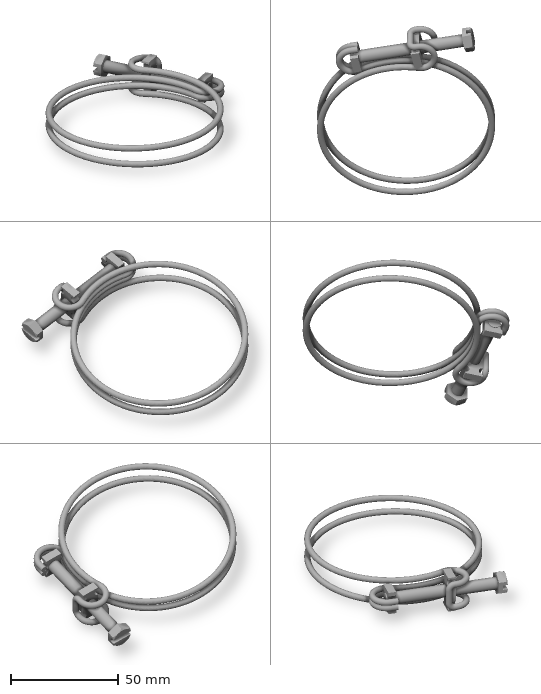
import cadquery as cq
import math

overall_length = 93.5
ring_outer_dia = 82.9

wire_dia = 3.0
wire_r = wire_dia / 2
ring_r = ring_outer_dia / 2 - wire_r

loop_x = 15.9
loop_back_y = overall_length - ring_outer_dia / 2 - wire_r
loop_r = (loop_x**2 + loop_back_y**2 - ring_r**2) / (2 * (loop_back_y + ring_r))
loop_y = loop_back_y - loop_r
joint_angle = math.degrees(math.atan2(loop_x, loop_y))
joint_x = ring_r * math.sin(math.radians(joint_angle))
joint_y = ring_r * math.cos(math.radians(joint_angle))
hook_z = 6.1
tail_z = wire_r

bridge_x = -12.4
bend_r = 2.7
tail_end_x = 12.4

bracket_y_size = 8.6
bracket_y = loop_back_y - wire_r - bracket_y_size / 2
left_bracket_x = (-16.3, -12.4)
left_bracket_height = 18.0
left_groove_r = 2.0
right_bracket_x = (12.7, 16.45)
right_bracket_height = 11.4
right_groove_r = 2.7

shank_dia = 6.0
shank_end_x = 16.9
head_start_x = -41.2
head_length = 4.3
head_across_flats = 10.0
head_across_corners = head_across_flats / math.cos(math.radians(30))
head_chamfer = (head_across_corners - head_across_flats) / 2
slot_width = 2.3
slot_depth = 2.3


def on_loop(side, angle, z):
    """Point on a loop centreline; side is -1 (left) or 1 (right), angle is measured outward from +Y."""
    a = math.radians(angle)
    return (side * (loop_x + loop_r * math.sin(a)), loop_y + loop_r * math.cos(a), z)


def loop_arc(side, z):
    """Loop centreline from the ring joint, round the outside, to the straight stretch at the back."""
    middle_angle = (180 + joint_angle) / 2
    return cq.Edge.makeThreePointArc(
        cq.Vector(side * joint_x, joint_y, z),
        cq.Vector(*on_loop(side, middle_angle, z)),
        cq.Vector(side * loop_x, loop_back_y, z),
    )


def back_line(start, end):
    """Straight centreline between two (x, z) points at the back of the loops."""
    return cq.Edge.makeLine(
        cq.Vector(start[0], loop_back_y, start[1]),
        cq.Vector(end[0], loop_back_y, end[1]),
    )


def bend_arc(side):
    """Quarter bend joining the bridge to a loop; side is 1 (upper) or -1 (lower)."""
    diagonal = bend_r * math.sqrt(0.5)
    centre_x = bridge_x - bend_r
    centre_z = hook_z - bend_r
    return cq.Edge.makeThreePointArc(
        cq.Vector(centre_x, loop_back_y, side * hook_z),
        cq.Vector(centre_x + diagonal, loop_back_y, side * (centre_z + diagonal)),
        cq.Vector(bridge_x, loop_back_y, side * centre_z),
    )


def joint_section(side, z):
    """Round wire section at the joint of ring and loop, in the vertical plane through the Z axis."""
    tangent = (joint_y, -side * joint_x, 0)
    plane = cq.Plane(origin=(side * joint_x, joint_y, z), xDir=(0, 0, 1), normal=tangent)
    return cq.Workplane(plane).circle(wire_r)


def make_left_hook():
    """Two loops joined by a bridge that passes behind the left bracket."""
    bend_start_x = bridge_x - bend_r
    bend_end_z = hook_z - bend_r
    path = cq.Wire.assembleEdges([
        loop_arc(-1, hook_z),
        back_line((-loop_x, hook_z), (bend_start_x, hook_z)),
        bend_arc(1),
        back_line((bridge_x, bend_end_z), (bridge_x, -bend_end_z)),
        bend_arc(-1),
        back_line((bend_start_x, -hook_z), (-loop_x, -hook_z)),
        loop_arc(-1, -hook_z),
    ])
    return joint_section(-1, hook_z).sweep(cq.Workplane(path))


def make_upper_ring_wire():
    """Ring falling from the left hook to the right loop in one turn plus the overlap, with its tail."""
    ring_turns = 1 + 2 * joint_angle / 360
    drop = hook_z - tail_z
    helix = cq.Wire.makeHelix(drop / ring_turns, drop, ring_r)
    helix = helix.rotate(cq.Vector(0, 0, 0), cq.Vector(0, 0, 1), 90 - joint_angle)
    helix = helix.translate(cq.Vector(0, 0, tail_z))
    ring = joint_section(1, tail_z).sweep(cq.Workplane(helix), isFrenet=True)
    tail_path = cq.Wire.assembleEdges([
        loop_arc(1, tail_z),
        back_line((loop_x, tail_z), (tail_end_x, tail_z)),
    ])
    tail = joint_section(1, tail_z).sweep(cq.Workplane(tail_path))
    return ring.union(tail)


def rod_along_x(start_x, end_x, diameter, y, z=0):
    """Cylinder parallel to X."""
    return cq.Workplane("YZ", origin=(start_x, y, z)).circle(diameter / 2).extrude(end_x - start_x)


def make_bracket(x_range, height):
    """Upright block with the screw hole through it."""
    start_x, end_x = x_range
    block = (
        cq.Workplane("YZ", origin=(start_x, bracket_y, 0))
        .rect(bracket_y_size, height)
        .extrude(end_x - start_x)
    )
    return block.cut(rod_along_x(start_x, end_x, shank_dia, bracket_y))


def make_left_bracket():
    """Tall bracket with four half-round grooves level with the loops."""
    bracket = make_bracket(left_bracket_x, left_bracket_height)
    for y in (bracket_y - bracket_y_size / 2, bracket_y + bracket_y_size / 2):
        for z in (-hook_z, hook_z):
            bracket = bracket.cut(rod_along_x(*left_bracket_x, 2 * left_groove_r, y, z))
    return bracket


def make_right_bracket():
    """Short bracket with two shallow grooves in its back, concentric with the wire tails."""
    bracket = make_bracket(right_bracket_x, right_bracket_height)
    for z in (-tail_z, tail_z):
        bracket = bracket.cut(rod_along_x(*right_bracket_x, 2 * right_groove_r, loop_back_y, z))
    return bracket


def make_screw():
    """Slotted hexagon-head screw with two head corners pointing up and down."""
    head_end_x = head_start_x + head_length
    head_plane = cq.Workplane("YZ", origin=(head_start_x, bracket_y, 0))
    hexagon = head_plane.transformed(rotate=(0, 0, 90)).polygon(6, head_across_corners).extrude(head_length)
    chamfered_round = head_plane.circle(head_across_corners / 2).extrude(head_length)
    chamfered_round = chamfered_round.faces("<X").chamfer(head_chamfer)
    slot = head_plane.rect(head_across_corners, slot_width).extrude(slot_depth)
    head = hexagon.intersect(chamfered_round).cut(slot)
    return head.union(rod_along_x(head_end_x, shank_end_x, shank_dia, bracket_y))


left_hook = make_left_hook()
upper_ring_wire = make_upper_ring_wire()
lower_ring_wire = upper_ring_wire.mirror("XY")
left_bracket = make_left_bracket()
right_bracket = make_right_bracket()
screw = make_screw()

result = cq.Compound.makeCompound([
    left_hook.val(),
    upper_ring_wire.val(),
    lower_ring_wire.val(),
    left_bracket.val(),
    right_bracket.val(),
    screw.val(),
])